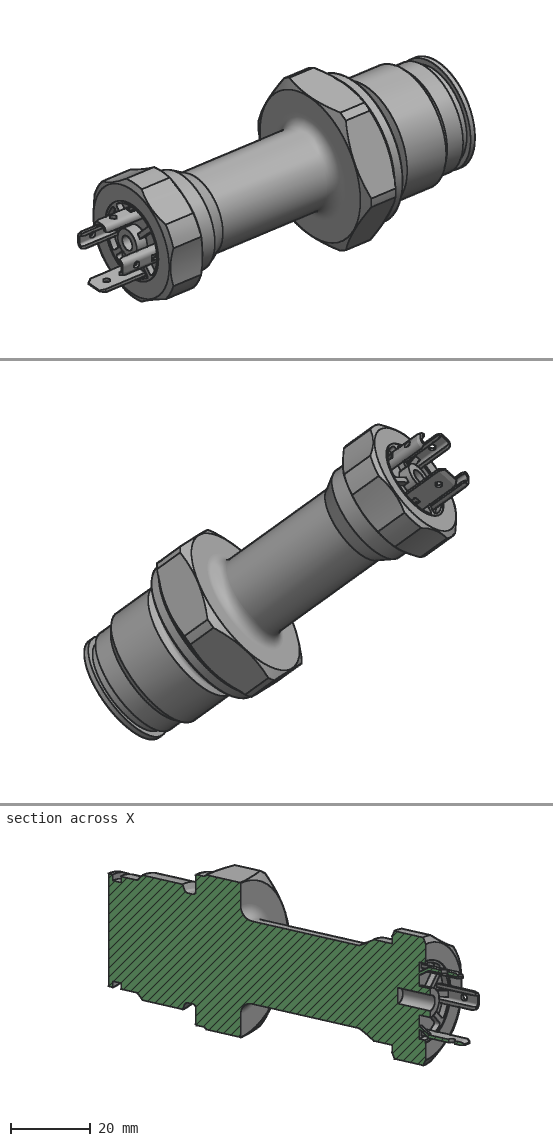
import cadquery as cq
import math

blade_tip = 0.0
pin_tip = 2.1
hub_front = 10.6
small_nut_front = 12.0
insert_front = 12.2
pocket_floor = 13.9
small_nut_rear = 22.5
collar_end = 28.0
tube_start = 32.5
large_nut_front = 68.9
large_nut_rear = 79.6
flange_front = 80.2
flange_rear = 82.9
thread_start = 86.8
thread_end = 99.2
rear_land_start = 100.8
ring_groove_front = 105.9
ring_groove_rear = 108.3
rear_end = 109.7

collar_diameter = 27.0
tube_diameter = 22.0
flange_diameter = 40.0
relief_diameter = 29.2
thread_diameter = 33.2
rear_land_diameter = 30.0
ring_groove_diameter = 26.8
tube_fillet = 3.3
flange_edge_chamfer = 0.3
relief_fillet = 1.1
relief_reach = 0.9
thread_front_chamfer = 0.7

large_nut_flats = 41.0
large_nut_corner_diameter = 46.0
large_nut_face_diameter = 40.8
bevel_angle = math.radians(30)

small_nut_corner_diameter = 34.0
small_nut_valley_diameter = 31.4
small_nut_face_diameter = 30.7
lobe_half_angle = 10.7
small_nut_bevel = 0.82
lobe_count = 6

insert_diameter = 21.5
pocket_outer_diameter = 20.2
hub_diameter = 7.8
hub_hole_diameter = 4.1
hub_hole_depth = 9.9
hub_embed = 1.1
rib_width = 1.4
pocket_corner_radius = 0.7
contact_count = 4

contact_outer_radius = 9.4
sheet = 1.0
contact_hole_diameter = 1.8
pin_width = 4.9
pin_leg_height = 2.0
pin_bend_radius = 1.6
pin_hole_position = 6.3
pin_taper_length = 1.0
pin_taper_depth = 0.27
blade_width = 6.3
blade_hole_position = 4.1
blade_corner_length = 1.3
blade_corner_inset = 0.93
blade_taper_depth = 0.3
blade_slot_radius = 10.0
lance_width = 1.6
lance_start = 11.1
lance_inner_radius = 6.4
contact_embed = 0.5


def turned(points):
    """Solid of revolution about Y from (radius, y) corners."""
    return cq.Workplane("XY").polyline(points).close().revolve(360, (0, 0, 0), (0, 1, 0))


def section(y):
    """Workplane across the axis at y, with local x = X and local y = Z; extrudes toward -Y."""
    return cq.Workplane("XZ", origin=(0, y, 0))


def turned_body():
    """Everything round about the axis, from the insert face to the rear end."""
    tube_r = tube_diameter / 2
    collar_r = collar_diameter / 2
    flange_r = flange_diameter / 2
    relief_r = relief_diameter / 2
    thread_r = thread_diameter / 2
    land_r = rear_land_diameter / 2
    groove_r = ring_groove_diameter / 2
    nut_face_r = large_nut_face_diameter / 2
    relief_rise = relief_fillet - math.sqrt(relief_fillet**2 - relief_reach**2)
    relief_front = flange_rear + relief_reach
    relief_rear = thread_start - thread_front_chamfer - relief_reach
    profile = (
        cq.Workplane("XY")
        .moveTo(0, insert_front)
        .lineTo(insert_diameter / 2, insert_front)
        .lineTo(insert_diameter / 2, small_nut_rear)
        .lineTo(collar_r, small_nut_rear)
        .lineTo(collar_r, collar_end)
        .lineTo(tube_r, tube_start)
        .lineTo(tube_r, large_nut_front - tube_fillet)
        .radiusArc((tube_r + tube_fillet, large_nut_front), tube_fillet)
        .lineTo(tube_r + tube_fillet, large_nut_rear)
        .lineTo(nut_face_r, large_nut_rear)
        .lineTo(flange_r, flange_front)
        .lineTo(flange_r, flange_rear - flange_edge_chamfer)
        .lineTo(flange_r - flange_edge_chamfer, flange_rear)
        .lineTo(relief_r + relief_rise, flange_rear)
        .radiusArc((relief_r, relief_front), relief_fillet)
        .lineTo(relief_r, relief_rear)
        .radiusArc((relief_r + relief_rise, relief_rear + relief_reach), relief_fillet)
        .lineTo(thread_r, thread_start)
        .lineTo(thread_r, thread_end)
        .lineTo(land_r, rear_land_start)
        .lineTo(land_r, ring_groove_front)
        .lineTo(groove_r, ring_groove_front)
        .lineTo(groove_r, ring_groove_rear)
        .lineTo(land_r, ring_groove_rear)
        .lineTo(land_r, rear_end)
        .lineTo(0, rear_end)
        .close()
    )
    return profile.revolve(360, (0, 0, 0), (0, 1, 0))


def beveled_blank(y_front, y_rear, face_diameter, corner_diameter, bevel):
    """Disc with both rims beveled, used to trim a nut to its corner circle."""
    face_r = face_diameter / 2
    corner_r = corner_diameter / 2
    return turned([
        (0, y_front),
        (face_r, y_front),
        (corner_r, y_front + bevel),
        (corner_r, y_rear - bevel),
        (face_r, y_rear),
        (0, y_rear),
    ])


def large_nut():
    across_corners = large_nut_flats / math.cos(math.pi / 6)
    bevel = (large_nut_corner_diameter - large_nut_face_diameter) / 2 * math.tan(bevel_angle)
    hexagon = section(large_nut_rear).polygon(6, across_corners).extrude(large_nut_rear - large_nut_front)
    return hexagon.intersect(beveled_blank(
        large_nut_front, large_nut_rear, large_nut_face_diameter, large_nut_corner_diameter, bevel))


def polar(diameter, degrees):
    angle = math.radians(degrees)
    return (diameter / 2 * math.cos(angle), diameter / 2 * math.sin(angle))


def small_nut():
    """Six rounded lobes joined by shallow hollow flanks, bored to take the insert."""
    pitch = 360 / lobe_count
    first_lobe = 90
    outline = section(small_nut_rear).moveTo(*polar(small_nut_corner_diameter, first_lobe - lobe_half_angle))
    for i in range(lobe_count):
        lobe = first_lobe + i * pitch
        outline = outline.threePointArc(
            polar(small_nut_corner_diameter, lobe),
            polar(small_nut_corner_diameter, lobe + lobe_half_angle),
        ).threePointArc(
            polar(small_nut_valley_diameter, lobe + pitch / 2),
            polar(small_nut_corner_diameter, lobe + pitch - lobe_half_angle),
        )
    lobed = outline.close().extrude(small_nut_rear - small_nut_front)
    bore = section(small_nut_rear).circle(insert_diameter / 2).extrude(small_nut_rear - small_nut_front)
    return lobed.cut(bore).intersect(beveled_blank(
        small_nut_front, small_nut_rear, small_nut_face_diameter, small_nut_corner_diameter, small_nut_bevel))


def turn(shape, index):
    """Turn a shape about Y from the top position to one of the four contact positions."""
    return shape.rotate((0, 0, 0), (0, 1, 0), index * 360 / contact_count)


def contact_pockets():
    """Four rounded sector pockets separated by diagonal ribs."""
    depth = pocket_floor - insert_front
    disc = section(pocket_floor).circle(pocket_outer_diameter / 2).extrude(depth)
    wedge_tip = rib_width / 2 * math.sqrt(2)
    reach = pocket_outer_diameter
    wedge = (
        section(pocket_floor)
        .polyline([(0, wedge_tip), (reach, wedge_tip + reach), (-reach, wedge_tip + reach)])
        .close()
        .extrude(depth)
    )
    outer_corners = cq.selectors.BoxSelector(
        (-reach, 0, hub_diameter / 2 + rib_width), (reach, rear_end, reach))
    sector = disc.intersect(wedge).edges("|Y").edges(outer_corners).fillet(pocket_corner_radius)
    pockets = sector
    for i in range(1, contact_count):
        pockets = pockets.union(turn(sector, i))
    return pockets


def blade_slot():
    """Straight relief in the pocket rim behind the blade, in the top position."""
    height = blade_slot_radius - contact_outer_radius + sheet
    return (
        section(pocket_floor)
        .center(0, blade_slot_radius - height / 2)
        .rect(blade_width, height)
        .extrude(pocket_floor - insert_front)
    )


def with_lance(contact, hole_position):
    """Pierce the contact and bend a locking tongue inward at its root."""
    plate_inner = contact_outer_radius - sheet
    hole = (
        cq.Workplane("XY", origin=(0, hole_position, plate_inner))
        .circle(contact_hole_diameter / 2)
        .extrude(sheet)
    )
    opening = cq.Workplane("XY").box(
        lance_width, pocket_floor - lance_start, sheet, centered=(True, False, False),
    ).translate((0, lance_start, plate_inner))
    tongue = (
        cq.Workplane("YZ")
        .polyline([
            (lance_start, plate_inner),
            (lance_start, contact_outer_radius),
            (pocket_floor + contact_embed, lance_inner_radius + sheet),
            (pocket_floor + contact_embed, lance_inner_radius),
        ])
        .close()
        .extrude(lance_width / 2, both=True)
    )
    return contact.cut(hole).cut(opening).union(tongue)


def pin_outline(plane):
    """Pin envelope: square toward the axis, with two large bend radii on the outer side."""
    half = pin_width / 2
    leg_end = contact_outer_radius - pin_leg_height
    shoulder = contact_outer_radius - pin_bend_radius
    back_half = half - pin_bend_radius
    return (
        plane.moveTo(-half, leg_end)
        .lineTo(half, leg_end)
        .lineTo(half, shoulder)
        .radiusArc((back_half, contact_outer_radius), -pin_bend_radius)
        .lineTo(-back_half, contact_outer_radius)
        .radiusArc((-half, shoulder), -pin_bend_radius)
        .close()
    )


def pin_contact():
    """Channel-shaped pin with its open side toward the axis."""
    root = pocket_floor + contact_embed
    leg_end = contact_outer_radius - pin_leg_height
    shank_end = pin_tip + pin_taper_length
    taper = math.degrees(math.atan2(pin_taper_depth, pin_taper_length))
    shank = pin_outline(section(root)).extrude(root - shank_end)
    tip = pin_outline(section(shank_end)).extrude(pin_taper_length, taper=taper)
    outer = shank.union(tip)
    inner_height = pin_leg_height - sheet
    channel = (
        section(root)
        .center(0, leg_end + inner_height / 2)
        .rect(pin_width - 2 * sheet, inner_height)
        .extrude(root - pin_tip)
        .edges("|Y and >Z")
        .fillet(pin_bend_radius - sheet)
    )
    return with_lance(outer.cut(channel), pin_hole_position)


def blade_contact():
    """Flat blade with clipped corners and a beveled tip."""
    half = blade_width / 2
    tip_half = half - blade_corner_inset
    root = pocket_floor + contact_embed
    blade = (
        cq.Workplane("XY", origin=(0, 0, contact_outer_radius - sheet))
        .polyline([
            (-half, root),
            (-half, blade_tip + blade_corner_length),
            (-tip_half, blade_tip),
            (tip_half, blade_tip),
            (half, blade_tip + blade_corner_length),
            (half, root),
        ])
        .close()
        .extrude(sheet)
        .faces("<Y")
        .edges("|X")
        .chamfer(blade_taper_depth, blade_corner_length)
    )
    return with_lance(blade, blade_hole_position)


def hub():
    """Center post of the insert, rooted below the pocket floor."""
    root = pocket_floor + hub_embed
    return section(root).circle(hub_diameter / 2).extrude(root - hub_front)


def hub_hole():
    return section(hub_front + hub_hole_depth).circle(hub_hole_diameter / 2).extrude(hub_hole_depth)


blade_index = 2

result = turned_body().union(large_nut()).union(small_nut())
result = result.cut(contact_pockets()).cut(turn(blade_slot(), blade_index))
result = result.union(hub()).cut(hub_hole())
for position in range(contact_count):
    contact = blade_contact() if position == blade_index else pin_contact()
    result = result.union(turn(contact, position))